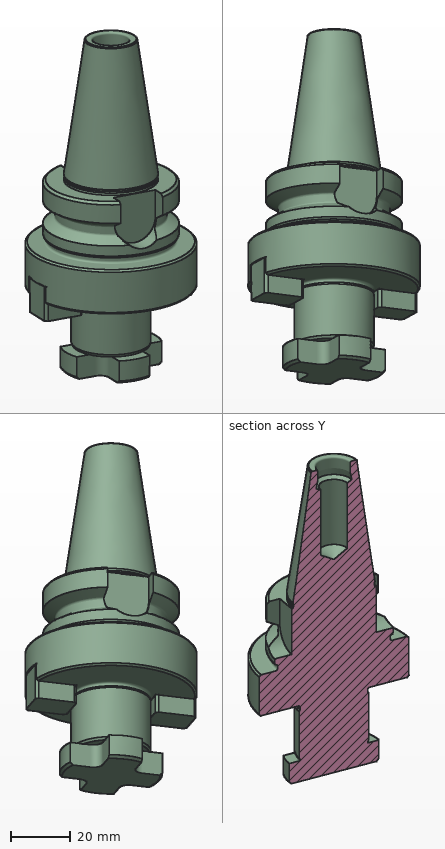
import cadquery as cq
import math

TOTAL_HEIGHT = 117.4
HEAD_TOP = 8.1
COLLAR_BOTTOM = 29.0
COLLAR_TOP = 44.8
RING_BOTTOM = 47.8
V_BOTTOM = 51.4
V_TOP = 59.5
FLANGE_TOP = 67.0
TAPER_BASE = 69.0

PILOT_RADIUS = 13.5
PILOT_RELIEF_RADIUS = 13.1
COLLAR_RADIUS = 29.0
FLANGE_RADIUS = 23.0
NECK_RADIUS = 21.8
V_ROOT_RADIUS = 18.9
TAPER_BASE_RADIUS = 16.0
TAPER_RELIEF_RADIUS = 15.7
TAPER_RATE = 7 / 24

SELECTION_MARGIN = 1.2

TIP_CHAMFER = 0.4
COLLAR_CHAMFER = 0.7
FLANGE_CHAMFER = 0.9
PILOT_CHAMFER = 0.5
PILOT_CHAMFER_LENGTH = 0.9
PILOT_FILLET = 0.7
NECK_FILLET = 0.8
V_ROOT_FILLET = 0.7
V_FACE_ANGLE = 30.0

RELIEF_STEP = 0.7

BORE_RADIUS = 6.2
BORE_MOUTH_FILLET = 0.7
BORE_FLARE_START = 4.3
BORE_FLARE_RADIUS = 6.8
BORE_DEPTH = 7.0
TAP_HOLE_RADIUS = 5.11
TAP_HOLE_DEPTH = 32.9
CONE_ANGLE = 30.0

SLOT_WIDTH = 16.1
SLOT_FLOOR = 16.4
SLOT_BOTTOM = 49.5

KEY_WIDTH = 12.0
KEY_INNER = 14.0
KEY_OUTER = 28.4
KEY_BOTTOM = 22.8
KEY_TOP = 35.2
KEY_CHAMFER = 0.9

HEAD_RADIUS = 17.4
HEAD_CHAMFER = 0.9
LOBE_WIDTH = 11.7
LOBE_FILLET = 3.3


def turned_body():
    """Pilot, collar, grooved flange and taper as one revolved outline."""
    taper_length = TOTAL_HEIGHT - TAPER_BASE
    tip_radius = TAPER_BASE_RADIUS - taper_length * TAPER_RATE / 2
    v_face_height = (FLANGE_RADIUS - V_ROOT_RADIUS) * math.tan(math.radians(V_FACE_ANGLE))
    relief_cone_bottom = COLLAR_BOTTOM - PILOT_FILLET - 2 * RELIEF_STEP
    neck_lip_radius = NECK_RADIUS + NECK_FILLET
    neck_lip_height = RING_BOTTOM - RELIEF_STEP

    outline = (
        cq.Workplane("YZ")
        .moveTo(0, HEAD_TOP)
        .lineTo(PILOT_RADIUS - PILOT_CHAMFER, HEAD_TOP)
        .lineTo(PILOT_RADIUS, HEAD_TOP + PILOT_CHAMFER_LENGTH)
        .lineTo(PILOT_RADIUS, relief_cone_bottom)
        .lineTo(PILOT_RELIEF_RADIUS, relief_cone_bottom + RELIEF_STEP)
        .lineTo(PILOT_RELIEF_RADIUS, COLLAR_BOTTOM - PILOT_FILLET)
        .radiusArc((PILOT_RELIEF_RADIUS + PILOT_FILLET, COLLAR_BOTTOM), PILOT_FILLET)
        .lineTo(COLLAR_RADIUS - COLLAR_CHAMFER, COLLAR_BOTTOM)
        .lineTo(COLLAR_RADIUS, COLLAR_BOTTOM + COLLAR_CHAMFER)
        .lineTo(COLLAR_RADIUS, COLLAR_TOP - COLLAR_CHAMFER)
        .lineTo(COLLAR_RADIUS - COLLAR_CHAMFER, COLLAR_TOP)
        .lineTo(neck_lip_radius, COLLAR_TOP)
        .radiusArc((NECK_RADIUS, COLLAR_TOP + NECK_FILLET), NECK_FILLET)
        .lineTo(NECK_RADIUS, neck_lip_height - NECK_FILLET)
        .radiusArc((neck_lip_radius, neck_lip_height), NECK_FILLET)
        .lineTo(FLANGE_RADIUS, RING_BOTTOM)
        .lineTo(FLANGE_RADIUS, V_BOTTOM)
        .lineTo(V_ROOT_RADIUS, V_BOTTOM + v_face_height)
        .lineTo(V_ROOT_RADIUS, V_TOP - v_face_height)
        .lineTo(FLANGE_RADIUS, V_TOP)
        .lineTo(FLANGE_RADIUS, FLANGE_TOP - FLANGE_CHAMFER)
        .lineTo(FLANGE_RADIUS - FLANGE_CHAMFER, FLANGE_TOP)
        .lineTo(TAPER_BASE_RADIUS, FLANGE_TOP)
        .lineTo(TAPER_RELIEF_RADIUS, FLANGE_TOP + RELIEF_STEP)
        .lineTo(TAPER_RELIEF_RADIUS, TAPER_BASE - RELIEF_STEP)
        .lineTo(TAPER_BASE_RADIUS, TAPER_BASE)
        .lineTo(tip_radius + TIP_CHAMFER * TAPER_RATE / 2, TOTAL_HEIGHT - TIP_CHAMFER)
        .lineTo(tip_radius - TIP_CHAMFER, TOTAL_HEIGHT)
        .lineTo(0, TOTAL_HEIGHT)
        .close()
    )
    body = outline.revolve(360, (0, 0, 0), (0, 1, 0))

    reach = V_ROOT_RADIUS + SELECTION_MARGIN
    v_root = cq.selectors.BoxSelector(
        (-reach, -reach, V_BOTTOM + SELECTION_MARGIN),
        (reach, reach, V_TOP - SELECTION_MARGIN),
    )
    return body.edges(v_root).edges("%CIRCLE").fillet(V_ROOT_FILLET)


def pull_stud_bore():
    """Blind bore: rounded mouth, flared seat, conical shoulder and drilled tap hole."""
    slope = math.tan(math.radians(CONE_ANGLE))
    shoulder_height = (BORE_FLARE_RADIUS - TAP_HOLE_RADIUS) * slope
    tip_height = TAP_HOLE_RADIUS * slope
    return (
        cq.Workplane("YZ")
        .moveTo(0, TOTAL_HEIGHT)
        .lineTo(BORE_RADIUS + BORE_MOUTH_FILLET, TOTAL_HEIGHT)
        .radiusArc((BORE_RADIUS, TOTAL_HEIGHT - BORE_MOUTH_FILLET), -BORE_MOUTH_FILLET)
        .lineTo(BORE_RADIUS, TOTAL_HEIGHT - BORE_FLARE_START)
        .lineTo(BORE_FLARE_RADIUS, TOTAL_HEIGHT - BORE_DEPTH)
        .lineTo(TAP_HOLE_RADIUS, TOTAL_HEIGHT - BORE_DEPTH - shoulder_height)
        .lineTo(TAP_HOLE_RADIUS, TOTAL_HEIGHT - TAP_HOLE_DEPTH)
        .lineTo(0, TOTAL_HEIGHT - TAP_HOLE_DEPTH - tip_height)
        .close()
        .revolve(360, (0, 0, 0), (0, 1, 0))
    )


def driving_slot(side):
    """U-shaped slot, open at the flange top, on the +X (1) or -X (-1) side."""
    half_width = SLOT_WIDTH / 2
    arc_center = SLOT_BOTTOM + half_width
    return (
        cq.Workplane("YZ", origin=(side * SLOT_FLOOR, 0, 0))
        .moveTo(-half_width, FLANGE_TOP)
        .lineTo(-half_width, arc_center)
        .threePointArc((0, SLOT_BOTTOM), (half_width, arc_center))
        .lineTo(half_width, FLANGE_TOP)
        .close()
        .extrude(side * (FLANGE_RADIUS - SLOT_FLOOR))
    )


def key_seat(side):
    """Seat of a driving key, cut out to the rim of the collar."""
    length = COLLAR_RADIUS - KEY_INNER
    return (
        cq.Workplane("XY", origin=(0, side * (KEY_INNER + length / 2), COLLAR_BOTTOM))
        .rect(KEY_WIDTH, length)
        .extrude(KEY_TOP - COLLAR_BOTTOM)
    )


def driving_key(side):
    """Key with chamfered upright edges on the +Y (1) or -Y (-1) side."""
    length = KEY_OUTER - KEY_INNER
    return (
        cq.Workplane("XY", origin=(0, side * (KEY_INNER + length / 2), KEY_BOTTOM))
        .rect(KEY_WIDTH, length)
        .extrude(KEY_TOP - KEY_BOTTOM)
        .edges("|Z")
        .chamfer(KEY_CHAMFER)
    )


def screw_head():
    """Cross of four lobes, rounded in the inner corners, inside a chamfered disc."""
    span = 2 * HEAD_RADIUS
    reach = LOBE_WIDTH / 2 + SELECTION_MARGIN
    bar_x = cq.Workplane("XY").rect(span, LOBE_WIDTH).extrude(HEAD_TOP)
    bar_y = cq.Workplane("XY").rect(LOBE_WIDTH, span).extrude(HEAD_TOP)
    inner_corners = cq.selectors.BoxSelector(
        (-reach, -reach, 0),
        (reach, reach, HEAD_TOP),
    )
    cross = bar_x.union(bar_y).edges("|Z").edges(inner_corners).fillet(LOBE_FILLET)
    disc = cq.Workplane("XY").circle(HEAD_RADIUS).extrude(HEAD_TOP)
    return cross.intersect(disc.faces("<Z").chamfer(HEAD_CHAMFER))


result = turned_body().cut(pull_stud_bore())
for side in (1, -1):
    result = result.cut(driving_slot(side))
    result = result.cut(key_seat(side)).union(driving_key(side))
result = result.union(screw_head())